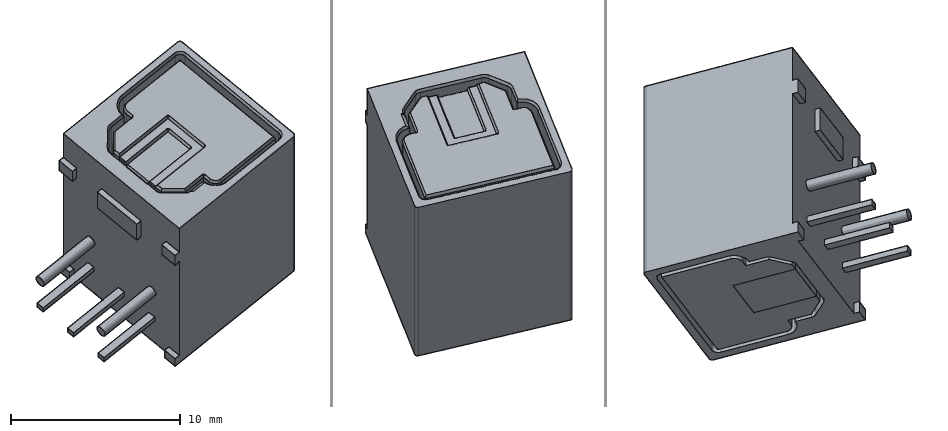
import cadquery as cq
import math

HOUSING_WIDTH = 9.7
TOTAL_DEPTH = 13.85
HOUSING_DEPTH = 9.65
HOUSING_HEIGHT = 13.5
BACK_EDGE_RADIUS = 0.2

BEVEL_WIDTH = 0.1
BEVEL_DEPTH = 0.2
BEVEL_ANGLE = math.degrees(math.atan(BEVEL_WIDTH / BEVEL_DEPTH))

OPENING_HALF_WIDTH = 4.31
OPENING_BACK = 9.14
OPENING_SHOULDER = 3.5
OPENING_NOSE_HALF_WIDTH = 3.3
OPENING_FRONT = 1.05
OPENING_NOSE_CUT = 1.19
NOSE_CUT_ANGLE = 45.0
OPENING_BACK_RADIUS = 0.4
OPENING_SHOULDER_RADIUS = 0.94
OPENING_NOSE_RADIUS = 0.5
RIGHT_BEVEL_WIDTH = 0.22

PLUG_TOP = HOUSING_HEIGHT - BEVEL_DEPTH
PLUG_HALF_WIDTH = 4.0
PLUG_BACK = 8.82
PLUG_SHOULDER = 3.84
PLUG_NOSE_HALF_WIDTH = 3.02
PLUG_FRONT = 1.32
PLUG_NOSE_CUT = 1.01
PLUG_SHOULDER_RADIUS = 0.55

INSERT_HALF_WIDTH = 1.5
INSERT_BACK = 5.35
INSERT_TOP = PLUG_TOP - BEVEL_DEPTH
INSERT_FRONT_BEVEL = 0.048
WINDOW_HALF_WIDTH = 0.9
WINDOW_BACK = 4.78
WINDOW_FLOOR = INSERT_TOP - BEVEL_DEPTH

PAD_THICKNESS = 0.35
UPPER_PADS_TOP = 11.12
CENTRE_PAD_WIDTH = 3.28
CENTRE_PAD_HEIGHT = 1.6
UPPER_PAD_WIDTH = 1.11
UPPER_PAD_HEIGHT = 0.98
LOWER_PAD_WIDTH = 0.87
LOWER_PAD_HEIGHT = 0.76

PIN_LENGTH = TOTAL_DEPTH - HOUSING_DEPTH
PIN_PITCH = 2.55
POST_DIAMETER = 0.69
POST_Z = 4.99
TERMINAL_WIDTH = 0.5
TERMINAL_HEIGHT = 0.4
TERMINAL_Z = 2.38

SELECT_MARGIN = 0.01


def box(x_min, x_max, y_min, y_max, z_min, z_max):
    size = (x_max - x_min, y_max - y_min, z_max - z_min)
    return cq.Workplane("XY", origin=(x_min, y_min, z_min)).box(*size, centered=False)


def keyed_prism(half_width, back, shoulder, nose_half_width, front, nose_cut, height):
    """Rectangle with a narrower nose toward -Y whose two front corners are cut at 45 degrees."""
    right_side = [
        (half_width, back),
        (half_width, shoulder),
        (nose_half_width, shoulder),
        (nose_half_width, front + nose_cut),
        (nose_half_width - nose_cut, front),
    ]
    left_side = [(-x, y) for x, y in reversed(right_side)]
    return cq.Workplane("XY").polyline(right_side + left_side).close().extrude(height)


def round_upright_edges(body, half_width, y, radius):
    """Round the pair of vertical edges at +/- half_width on the line Y = y."""
    for x in (-half_width, half_width):
        edge = cq.selectors.BoxSelector(
            (x - SELECT_MARGIN, y - SELECT_MARGIN, 0),
            (x + SELECT_MARGIN, y + SELECT_MARGIN, HOUSING_HEIGHT),
        )
        body = body.edges("|Z").edges(edge).fillet(radius)
    return body


def sloped_layer(prism, base_z, angle):
    """Layer one bevel deep on the outline of a prism, narrowing upward by the angle."""
    outline = prism.faces("<Z").wires().val().translate(cq.Vector(0, 0, base_z))
    return cq.Workplane("XY").add(outline).toPending().extrude(BEVEL_DEPTH, taper=angle)


def make_pads():
    """Centre pad and four corner pads, each reaching from the front face to -Y."""
    half = HOUSING_WIDTH / 2
    pads = [
        (-CENTRE_PAD_WIDTH / 2, CENTRE_PAD_WIDTH, UPPER_PADS_TOP, CENTRE_PAD_HEIGHT),
        (-half, UPPER_PAD_WIDTH, UPPER_PADS_TOP, UPPER_PAD_HEIGHT),
        (half - UPPER_PAD_WIDTH, UPPER_PAD_WIDTH, UPPER_PADS_TOP, UPPER_PAD_HEIGHT),
        (-half, LOWER_PAD_WIDTH, LOWER_PAD_HEIGHT, LOWER_PAD_HEIGHT),
        (half - LOWER_PAD_WIDTH, LOWER_PAD_WIDTH, LOWER_PAD_HEIGHT, LOWER_PAD_HEIGHT),
    ]
    return [box(x, x + width, -PAD_THICKNESS, 0, top - height, top) for x, width, top, height in pads]


def make_opening():
    """Solid that is removed from the housing: the keyed opening, flared at its mouth."""
    opening = keyed_prism(
        OPENING_HALF_WIDTH, OPENING_BACK, OPENING_SHOULDER,
        OPENING_NOSE_HALF_WIDTH, OPENING_FRONT, OPENING_NOSE_CUT, HOUSING_HEIGHT,
    )
    nose_side_end = OPENING_FRONT + OPENING_NOSE_CUT
    nose_tip = OPENING_NOSE_HALF_WIDTH - OPENING_NOSE_CUT
    rounded_corners = [
        (OPENING_HALF_WIDTH, OPENING_BACK, OPENING_BACK_RADIUS),
        (OPENING_HALF_WIDTH, OPENING_SHOULDER, OPENING_SHOULDER_RADIUS),
        (OPENING_NOSE_HALF_WIDTH, nose_side_end, OPENING_NOSE_RADIUS),
        (nose_tip, OPENING_FRONT, OPENING_NOSE_RADIUS),
    ]
    for half_width, y, radius in rounded_corners:
        opening = round_upright_edges(opening, half_width, y, radius)
    flare_start = HOUSING_HEIGHT - BEVEL_DEPTH
    flare = sloped_layer(opening, flare_start, -BEVEL_ANGLE)
    return opening.union(flare)


def make_right_bevel():
    """Wider, flatter bevel on the straight +X side of the nose."""
    x = OPENING_NOSE_HALF_WIDTH
    rounding = OPENING_NOSE_RADIUS * math.tan(math.radians(NOSE_CUT_ANGLE / 2))
    length = OPENING_SHOULDER - OPENING_FRONT - OPENING_NOSE_CUT - rounding
    profile = [
        (x, HOUSING_HEIGHT),
        (x + RIGHT_BEVEL_WIDTH, HOUSING_HEIGHT),
        (x, HOUSING_HEIGHT - BEVEL_DEPTH),
    ]
    return (
        cq.Workplane("XZ", origin=(0, OPENING_SHOULDER, 0))
        .polyline(profile).close().extrude(length)
    )


def make_housing():
    half = HOUSING_WIDTH / 2
    housing = box(-half, half, 0, HOUSING_DEPTH, 0, HOUSING_HEIGHT)
    housing = housing.edges("|Z and >Y").fillet(BACK_EDGE_RADIUS)
    for pad in make_pads():
        housing = housing.union(pad)
    return housing.cut(make_opening()).cut(make_right_bevel())


def make_plug():
    shank_top = PLUG_TOP - BEVEL_DEPTH
    shank = keyed_prism(
        PLUG_HALF_WIDTH, PLUG_BACK, PLUG_SHOULDER,
        PLUG_NOSE_HALF_WIDTH, PLUG_FRONT, PLUG_NOSE_CUT, shank_top,
    )
    shank = round_upright_edges(shank, PLUG_HALF_WIDTH, PLUG_SHOULDER, PLUG_SHOULDER_RADIUS)
    notch = box(-INSERT_HALF_WIDTH, INSERT_HALF_WIDTH, PLUG_FRONT, INSERT_BACK, 0, shank_top)
    shank = shank.cut(notch)
    return shank.union(sloped_layer(shank, shank_top, BEVEL_ANGLE))


def front_edge_wedge(half_width, top_z, width):
    """Wedge that bevels the front edge of the insert, keeping the common bevel slope."""
    depth = width * BEVEL_DEPTH / BEVEL_WIDTH
    profile = [
        (PLUG_FRONT, top_z),
        (PLUG_FRONT + width, top_z),
        (PLUG_FRONT, top_z - depth),
    ]
    return cq.Workplane("YZ").polyline(profile).close().extrude(half_width, both=True)


def make_insert():
    insert = box(-INSERT_HALF_WIDTH, INSERT_HALF_WIDTH, PLUG_FRONT, INSERT_BACK, 0, INSERT_TOP)
    insert = insert.cut(front_edge_wedge(INSERT_HALF_WIDTH, INSERT_TOP, INSERT_FRONT_BEVEL))
    window_length = 2 * (WINDOW_BACK - PLUG_FRONT)
    window = (
        cq.Workplane("XY", origin=(0, PLUG_FRONT, WINDOW_FLOOR))
        .rect(2 * WINDOW_HALF_WIDTH, window_length)
        .extrude(BEVEL_DEPTH, taper=-BEVEL_ANGLE)
    )
    insert = insert.cut(window)
    return insert.cut(front_edge_wedge(WINDOW_HALF_WIDTH, WINDOW_FLOOR, BEVEL_WIDTH))


def make_post(x):
    return (
        cq.Workplane("XZ", origin=(x, 0, POST_Z))
        .circle(POST_DIAMETER / 2).extrude(PIN_LENGTH)
    )


def make_terminal(x):
    return (
        cq.Workplane("XZ", origin=(x, 0, TERMINAL_Z))
        .rect(TERMINAL_WIDTH, TERMINAL_HEIGHT).extrude(PIN_LENGTH)
    )


housing = make_housing()
plug = make_plug()
insert = make_insert()
posts = [make_post(x) for x in (-PIN_PITCH, PIN_PITCH)]
terminals = [make_terminal(x) for x in (-PIN_PITCH, 0, PIN_PITCH)]

bodies = [housing, plug, insert, *posts, *terminals]
result = cq.Compound.makeCompound([body.solids().val() for body in bodies])